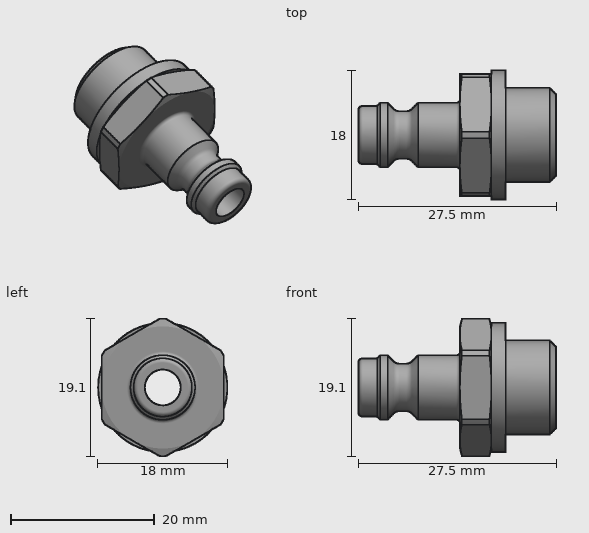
import cadquery as cq
import math

total_length = 27.5
collar_start = 2.6
collar_land_end = 4.07
shank_start = 8.3
hex_start = 14.14
hex_end = 18.5
seal_end = 20.5

bore_radius = 4.95 / 2
neck_radius = 6.65 / 2
nose_radius = 8.1 / 2
shank_radius = 9.0 / 2
thread_radius = 13.15 / 2
seal_radius = 18.0 / 2

nose_fillet = 0.6
groove_fillet = 1.0
shank_fillet = 0.5
thread_chamfer = 0.9

across_flats = 17.0
corner_radius = 19.15 / 2
hex_bevel_depth = 0.28

diagonal = math.sin(math.radians(45))
half_diagonal = math.sin(math.radians(22.5))
arc_run = groove_fillet * diagonal
arc_rise = groove_fillet * (1 - diagonal)
arc_mid_run = groove_fillet * half_diagonal
arc_mid_rise = groove_fillet * (1 - math.cos(math.radians(22.5)))
wall_run = shank_radius - neck_radius - arc_rise
groove_bottom_start = collar_land_end + wall_run + arc_run
groove_bottom_end = shank_start - wall_run - arc_run


def revolve_about_x(profile):
    """Revolve a closed XY profile one full turn about the X axis."""
    return profile.close().revolve(360, (0, 0, 0), (1, 0, 0))


def make_plug():
    """Plug end: rounded nose, collar, locking groove and shank."""
    collar_land_start = collar_start + shank_radius - nose_radius
    nose_mid = nose_fillet * (1 - diagonal)
    shank_mid = shank_fillet * (1 - diagonal)
    profile = (
        cq.Workplane("XY")
        .moveTo(0, 0)
        .lineTo(0, nose_radius - nose_fillet)
        .threePointArc((nose_mid, nose_radius - nose_mid), (nose_fillet, nose_radius))
        .lineTo(collar_start, nose_radius)
        .lineTo(collar_land_start, shank_radius)
        .lineTo(collar_land_end, shank_radius)
        .lineTo(collar_land_end + wall_run, neck_radius + arc_rise)
        .threePointArc(
            (groove_bottom_start - arc_mid_run, neck_radius + arc_mid_rise),
            (groove_bottom_start, neck_radius),
        )
        .lineTo(groove_bottom_end, neck_radius)
        .threePointArc(
            (groove_bottom_end + arc_mid_run, neck_radius + arc_mid_rise),
            (groove_bottom_end + arc_run, neck_radius + arc_rise),
        )
        .lineTo(shank_start, shank_radius)
        .lineTo(hex_start - shank_fillet, shank_radius)
        .threePointArc(
            (hex_start - shank_mid, shank_radius + shank_mid),
            (hex_start, shank_radius + shank_fillet),
        )
        .lineTo(hex_start, 0)
    )
    return revolve_about_x(profile)


def make_hexagon():
    """Wrench hexagon, corners up and down, turned and bevelled at both ends."""
    across_corners = across_flats / math.cos(math.radians(30))
    prism = (
        cq.Workplane("YZ", origin=(hex_start, 0, 0))
        .transformed(rotate=(0, 0, 90))
        .polygon(6, across_corners)
        .extrude(hex_end - hex_start)
    )
    turned_envelope = revolve_about_x(
        cq.Workplane("XY")
        .moveTo(hex_start, 0)
        .lineTo(hex_start, across_flats / 2)
        .lineTo(hex_start + hex_bevel_depth, corner_radius)
        .lineTo(hex_end - hex_bevel_depth, corner_radius)
        .lineTo(hex_end, across_flats / 2)
        .lineTo(hex_end, 0)
    )
    return prism.intersect(turned_envelope)


def make_thread_stud():
    """Plain cylindrical stud with a chamfered free end."""
    return (
        cq.Workplane("YZ", origin=(hex_end, 0, 0))
        .circle(thread_radius)
        .extrude(total_length - hex_end)
        .faces(">X")
        .chamfer(thread_chamfer)
    )


def make_fitting():
    """One-piece fitting with a bore through its whole length."""
    bore = cq.Workplane("YZ").circle(bore_radius).extrude(total_length)
    return make_plug().union(make_hexagon()).union(make_thread_stud()).cut(bore)


def make_seal_ring():
    """Flat ring around the stud, seated against the hexagon."""
    return (
        cq.Workplane("YZ", origin=(hex_end, 0, 0))
        .circle(seal_radius)
        .circle(thread_radius)
        .extrude(seal_end - hex_end)
    )


fitting = make_fitting()
seal_ring = make_seal_ring()
result = cq.Compound.makeCompound([fitting.solids().val(), seal_ring.val()])